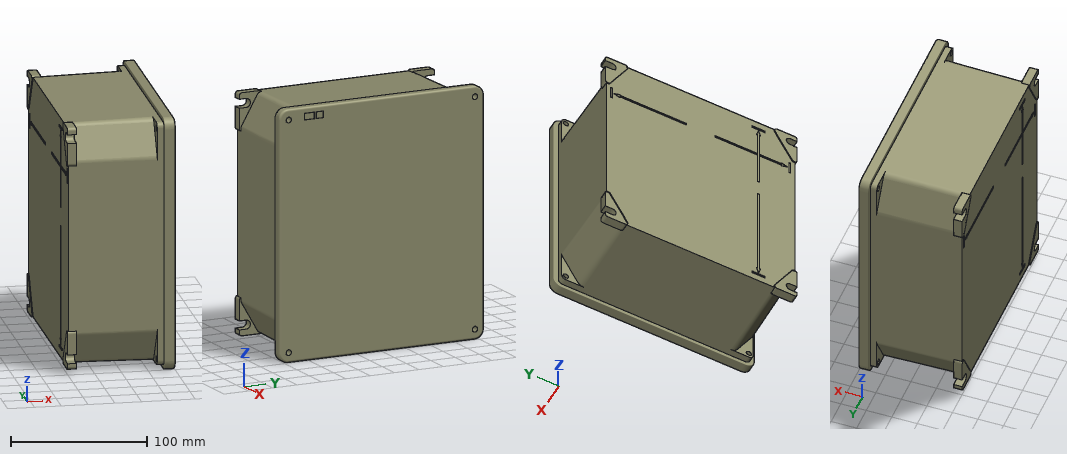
import cadquery as cq
import math


DRAFT_ANGLE = 1.0

LID_Y = 168.0
LID_Z = 192.0
LID_BACK = 72.0
LID_FRONT = 80.0
LID_CORNER_RADIUS = 7.5
LID_PLATE_THICKNESS = 2.0
LID_FACE_RADIUS = 1.7
LID_BACK_RADIUS = 0.4

PAD_HEIGHT = 0.4
PAD_SPANS_Y = [(-54.0, -48.4), (-63.7, -55.7)]
PAD_BOTTOM_Z = 86.8
PAD_TOP_Z = 91.8

LID_OVERHANG_Y = 3.8
LID_OVERHANG_Z = 3.5
HOUSING_BACK = 0.8
LEDGE_X = 67.0
FLANGE_CORNER_RADIUS = 3.8

CUT_ANGLE = 60.0
CUT_Y = 15.2
CUT_Z = CUT_Y * math.tan(math.radians(CUT_ANGLE))
CUT_EDGE_RADIUS = 5.5

FOOT_HALF_Y = 80.2
FOOT_HALF_Z = 92.1
FOOT_THICKNESS = 6.7
FOOT_LEG_Y = 20.5
FOOT_LEG_Z = FOOT_LEG_Y * math.tan(math.radians(CUT_ANGLE))
FOOT_CORNER_RADIUS = 2.3

SLOT_PITCH_Y = 149.0
SLOT_PITCH_Z = 168.0
SLOT_WIDTH = 6.7

SCREW_DIAMETER = 4.2
SCREW_PITCH_Y = 153.0
SCREW_PITCH_Z = 176.2

MARK_DEPTH = 0.2
MARK_WIDTH = 1.5
END_BAR_LENGTH = 11.1
ARROW_TIP_GAP = 2.0
ARROW_LENGTH = 5.0
ARROW_WIDTH = 3.3
Y_MARK_AT_Z = 54.5
Y_MARK_GAP = (-12.0, 12.0)
Z_MARK_AT_Y = -48.4
Z_MARK_GAP = (9.0, 23.2)

CORNERS = [(side_y, side_z) for side_y in (-1, 1) for side_z in (-1, 1)]


def section_plane(x):
    """Sketch plane at X = x, with local axes Y and Z and its normal along +X."""
    return cq.Workplane("YZ", origin=(x, 0, 0))


def corner_points(pitch_y, pitch_z):
    """Four points, one for each corner, spaced by the two pitches."""
    return [(side_y * pitch_y / 2, side_z * pitch_z / 2) for side_y, side_z in CORNERS]


def screw_holes():
    """Cutters through both flange and lid."""
    return (
        section_plane(LEDGE_X)
        .pushPoints(corner_points(SCREW_PITCH_Y, SCREW_PITCH_Z))
        .circle(SCREW_DIAMETER / 2)
        .extrude(LID_FRONT - LEDGE_X)
    )


def make_flange():
    """Part of the housing next to the lid, with full corners."""
    outline = cq.Sketch().rect(LID_Y - 2 * LID_OVERHANG_Y, LID_Z - 2 * LID_OVERHANG_Z)
    outline = outline.vertices().fillet(FLANGE_CORNER_RADIUS)
    return section_plane(LID_BACK).placeSketch(outline).extrude(LEDGE_X - LID_BACK, taper=DRAFT_ANGLE)


def make_box():
    """Part of the housing with its four corners cut off."""
    wall_shift = (LID_BACK - LEDGE_X) * math.tan(math.radians(DRAFT_ANGLE))
    half_y = LID_Y / 2 - LID_OVERHANG_Y - wall_shift
    half_z = LID_Z / 2 - LID_OVERHANG_Z - wall_shift
    flat_y = half_y - CUT_Y
    flat_z = half_z - CUT_Z
    outline = cq.Sketch().polygon(
        [
            (flat_y, half_z),
            (half_y, flat_z),
            (half_y, -flat_z),
            (flat_y, -half_z),
            (-flat_y, -half_z),
            (-half_y, -flat_z),
            (-half_y, flat_z),
            (-flat_y, half_z),
            (flat_y, half_z),
        ]
    )
    outline = outline.vertices().fillet(CUT_EDGE_RADIUS)
    return section_plane(LEDGE_X).placeSketch(outline).extrude(HOUSING_BACK - LEDGE_X, taper=DRAFT_ANGLE)


def make_foot(side_y, side_z):
    """Triangular foot in one corner, with rounded corners."""
    edge_y = side_y * FOOT_HALF_Y
    edge_z = side_z * FOOT_HALF_Z
    return (
        section_plane(0)
        .moveTo(edge_y, edge_z)
        .lineTo(edge_y - side_y * FOOT_LEG_Y, edge_z)
        .lineTo(edge_y, edge_z - side_z * FOOT_LEG_Z)
        .close()
        .extrude(FOOT_THICKNESS)
        .edges("|X")
        .fillet(FOOT_CORNER_RADIUS)
    )


def make_slot(side_y, side_z):
    """Cutter that starts with a round end and runs out past the side of the foot."""
    slot_y = side_y * SLOT_PITCH_Y / 2
    slot_z = side_z * SLOT_PITCH_Z / 2
    round_end = section_plane(0).center(slot_y, slot_z).circle(SLOT_WIDTH / 2).extrude(FOOT_THICKNESS)
    mouth = (
        section_plane(0)
        .center(slot_y + side_y * SLOT_WIDTH, slot_z)
        .rect(2 * SLOT_WIDTH, SLOT_WIDTH)
        .extrude(FOOT_THICKNESS)
    )
    return round_end.union(mouth)


def make_half_mark(bar_at, shaft_end):
    """Cutter along +Y: end bar at bar_at, arrow head inside it, shaft down to shaft_end."""
    tip = bar_at - ARROW_TIP_GAP
    head_end = tip - ARROW_LENGTH
    base = section_plane(HOUSING_BACK)
    bar = base.center(bar_at, 0).rect(MARK_WIDTH, END_BAR_LENGTH).extrude(MARK_DEPTH)
    arrow = (
        base.moveTo(tip, 0)
        .lineTo(head_end, ARROW_WIDTH / 2)
        .lineTo(head_end, MARK_WIDTH / 2)
        .lineTo(shaft_end, MARK_WIDTH / 2)
        .lineTo(shaft_end, -MARK_WIDTH / 2)
        .lineTo(head_end, -MARK_WIDTH / 2)
        .lineTo(head_end, -ARROW_WIDTH / 2)
        .close()
        .extrude(MARK_DEPTH)
    )
    return bar.union(arrow)


def make_pitch_mark(pitch, gap):
    """Cutter for a double arrow along Y that spans the pitch and is broken by the gap."""
    gap_start, gap_end = gap
    upper_half = make_half_mark(pitch / 2, gap_end)
    lower_half = make_half_mark(pitch / 2, -gap_start).mirror("XZ")
    return upper_half.union(lower_half)


def make_housing():
    """Box with its flange, slotted feet, pitch marks and screw holes."""
    housing = make_box().union(make_flange())
    for side_y, side_z in CORNERS:
        housing = housing.union(make_foot(side_y, side_z)).cut(make_slot(side_y, side_z))
    y_mark = make_pitch_mark(SLOT_PITCH_Y, Y_MARK_GAP).translate((0, 0, Y_MARK_AT_Z))
    z_mark = (
        make_pitch_mark(SLOT_PITCH_Z, Z_MARK_GAP)
        .rotate((0, 0, 0), (1, 0, 0), 90)
        .translate((0, Z_MARK_AT_Y, 0))
    )
    return housing.cut(y_mark).cut(z_mark).cut(screw_holes())


def make_lid():
    """Drafted rim under a rounded front plate, with raised pads on its face."""
    rim_front = LID_FRONT - LID_PLATE_THICKNESS
    outline = cq.Sketch().rect(LID_Y, LID_Z).vertices().fillet(LID_CORNER_RADIUS)
    rim = section_plane(rim_front).placeSketch(outline).extrude(LID_BACK - rim_front, taper=DRAFT_ANGLE)
    rim = rim.faces("<X").edges().fillet(LID_BACK_RADIUS)
    face_plate = section_plane(rim_front).placeSketch(outline).extrude(LID_PLATE_THICKNESS)
    lid = rim.union(face_plate).faces(">X").edges().fillet(LID_FACE_RADIUS).cut(screw_holes())
    for first_y, last_y in PAD_SPANS_Y:
        pad = (
            section_plane(LID_FRONT)
            .center((first_y + last_y) / 2, (PAD_BOTTOM_Z + PAD_TOP_Z) / 2)
            .rect(last_y - first_y, PAD_TOP_Z - PAD_BOTTOM_Z)
            .extrude(PAD_HEIGHT)
        )
        lid = lid.union(pad)
    return lid


housing = make_housing()
lid = make_lid()

result = cq.Compound.makeCompound([housing.val(), lid.val()])